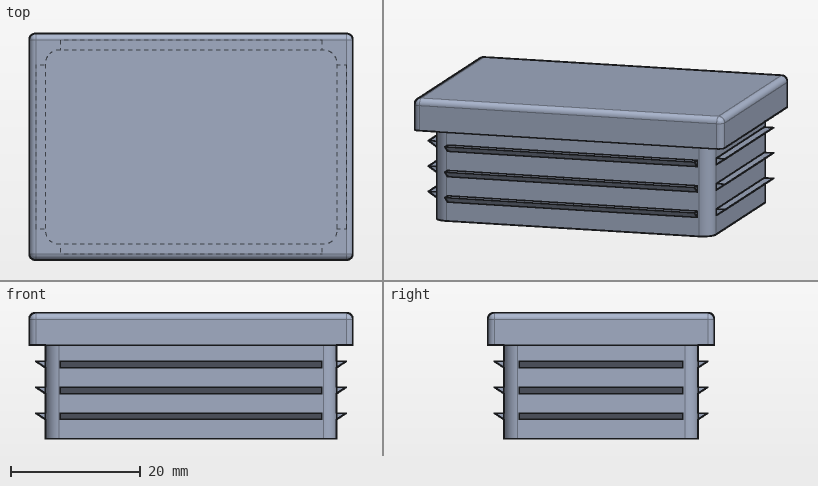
import cadquery as cq

cap_length = 50
cap_width = 35
cap_height = 5
cap_edge_radius = 1

cap_overhang = 2.5
plug_height = 14.5
plug_corner_radius = 2.1
plug_length = cap_length - 2 * cap_overhang
plug_width = cap_width - 2 * cap_overhang

barb_reach = 1.5
barb_height = 1
barb_corner_gap = 0.25
barb_pitch = 4
barb_count = 3
barb_inset = plug_corner_radius + barb_corner_gap
barb_root = 0.5


def make_cap():
    """Rectangular lid with rounded vertical and top edges."""
    cap = cq.Workplane("XY", origin=(0, 0, plug_height)).box(
        cap_length, cap_width, cap_height, centered=(True, True, False)
    )
    return cap.edges("|Z or >Z").fillet(cap_edge_radius)


def make_plug():
    """Solid plug with rounded vertical corners, standing on Z = 0."""
    plug = cq.Workplane("XY").box(
        plug_length, plug_width, plug_height, centered=(True, True, False)
    )
    return plug.edges("|Z").fillet(plug_corner_radius)


def make_barb(length, wall, top):
    """Barb running along Y on a wall at X = wall, with its flat top at Z = top."""
    return (
        cq.Workplane("XZ")
        .moveTo(wall - barb_root, top)
        .lineTo(wall + barb_reach, top)
        .lineTo(wall, top - barb_height)
        .lineTo(wall - barb_root, top - barb_height)
        .close()
        .extrude(length / 2, both=True)
    )


result = make_cap().union(make_plug())

sides = [
    (0, plug_length / 2, plug_width),
    (90, plug_width / 2, plug_length),
    (180, plug_length / 2, plug_width),
    (270, plug_width / 2, plug_length),
]
for turn, wall_distance, wall_length in sides:
    for row in range(1, barb_count + 1):
        barb = make_barb(wall_length - 2 * barb_inset, wall_distance, row * barb_pitch)
        result = result.union(barb.rotate((0, 0, 0), (0, 0, 1), turn))